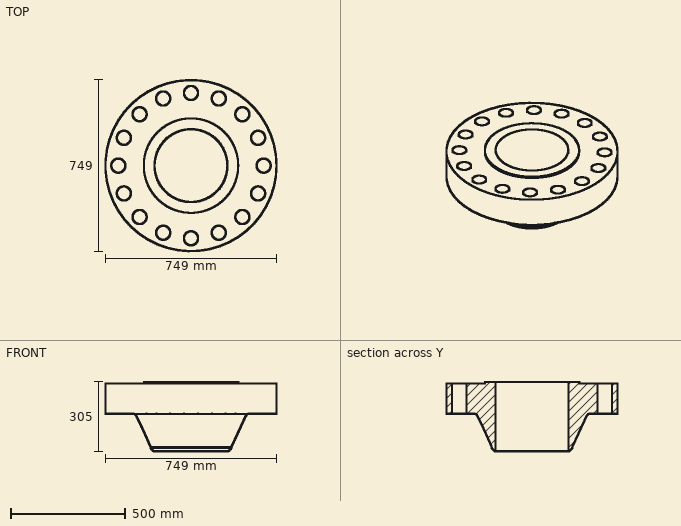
import cadquery as cq

flange_diameter = 749.0
total_height = 305.0
bore_diameter = 318.0

face_diameter = 413.5
face_height = 7.0

flange_thickness = 133.5

bolt_count = 16
bolt_circle_diameter = 635.5
bolt_hole_diameter = 61.0

hub_diameter = 488.5
hub_fillet_radius = 17.0
neck_diameter = 355.0
neck_height = 20.0
bevel_height = 14.0
bevel_end_diameter = 325.0

face_bottom = total_height - face_height
flange_bottom = face_bottom - flange_thickness


def revolved_body():
    """Flange, raised face, hub and weld neck as one revolved profile, with the bore open."""
    bore_radius = bore_diameter / 2
    face_radius = face_diameter / 2
    flange_radius = flange_diameter / 2
    hub_radius = hub_diameter / 2
    neck_radius = neck_diameter / 2
    profile = (
        cq.Workplane("XZ")
        .moveTo(bore_radius, 0)
        .lineTo(bevel_end_diameter / 2, 0)
        .lineTo(neck_radius, bevel_height)
        .lineTo(neck_radius, neck_height)
        .lineTo(hub_radius, flange_bottom)
        .lineTo(flange_radius, flange_bottom)
        .lineTo(flange_radius, face_bottom)
        .lineTo(face_radius, face_bottom)
        .lineTo(face_radius, total_height)
        .lineTo(bore_radius, total_height)
        .close()
    )
    return profile.revolve(360, (0, 0, 0), (0, 1, 0))


def fillet_hub_root(body):
    """Round the inside corner where the hub meets the underside of the flange."""
    margin = 1.0
    hub_root = cq.selectors.BoxSelector(
        (-hub_diameter, -hub_diameter, flange_bottom - margin),
        (hub_diameter, hub_diameter, flange_bottom + margin),
        boundingbox=False,
    )
    inner_edge = cq.selectors.RadiusNthSelector(0)
    return body.edges(hub_root).edges(inner_edge).fillet(hub_fillet_radius)


def bolt_holes():
    """Cutters for the ring of bolt holes through the flange plate."""
    return (
        cq.Workplane("XY", origin=(0, 0, flange_bottom))
        .polarArray(bolt_circle_diameter / 2, 0, 360, bolt_count)
        .circle(bolt_hole_diameter / 2)
        .extrude(flange_thickness)
    )


result = fillet_hub_root(revolved_body()).cut(bolt_holes())